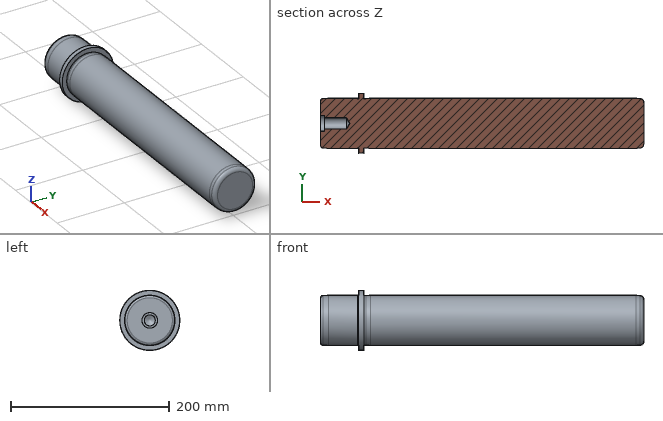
import cadquery as cq
import math

length = 409.0
body_radius = 32.0
flange_radius = 38.0
flange_start = 48.3
flange_end = 55.0

lead_radius = 31.5
lead_end = 10.2
front_round = 3.0
rear_round = 5.5

front_relief_width = 1.2
rear_relief_width = 2.5
seat_taper_end = 63.0

hole_radius = 7.0
counterbore_radius = 10.0
counterbore_depth = 5.0
hole_depth = 32.7
drill_tip_angle = 118.0


def round_point(center_x, center_r, radius, angle):
    """Point on an end round, with the angle measured from +X."""
    turn = math.radians(angle)
    return center_x + radius * math.cos(turn), center_r + radius * math.sin(turn)


def revolve_about_x(profile):
    return profile.close().revolve(360, (0, 0, 0), (1, 0, 0))


def make_pin():
    front_mid = round_point(front_round, lead_radius - front_round, front_round, 135)
    rear_start = length - rear_round
    rear_mid = round_point(rear_start, lead_radius - rear_round, rear_round, 45)
    relief_start = flange_start - front_relief_width
    relief_end = flange_end + rear_relief_width
    profile = (
        cq.Workplane("XY")
        .moveTo(0, 0)
        .lineTo(0, lead_radius - front_round)
        .threePointArc(front_mid, (front_round, lead_radius))
        .lineTo(lead_end, body_radius)
        .lineTo(relief_start, body_radius)
        .lineTo(relief_start, lead_radius)
        .lineTo(flange_start, lead_radius)
        .lineTo(flange_start, flange_radius)
        .lineTo(flange_end, flange_radius)
        .lineTo(flange_end, lead_radius)
        .lineTo(relief_end, lead_radius)
        .lineTo(seat_taper_end, body_radius)
        .lineTo(length - lead_end, body_radius)
        .lineTo(rear_start, lead_radius)
        .threePointArc(rear_mid, (length, lead_radius - rear_round))
        .lineTo(length, 0)
    )
    return revolve_about_x(profile)


def make_center_hole():
    tip_depth = hole_radius / math.tan(math.radians(drill_tip_angle / 2))
    profile = (
        cq.Workplane("XY")
        .moveTo(0, 0)
        .lineTo(0, counterbore_radius)
        .lineTo(counterbore_depth, counterbore_radius)
        .lineTo(counterbore_depth, hole_radius)
        .lineTo(hole_depth, hole_radius)
        .lineTo(hole_depth + tip_depth, 0)
    )
    return revolve_about_x(profile)


result = make_pin().cut(make_center_hole())